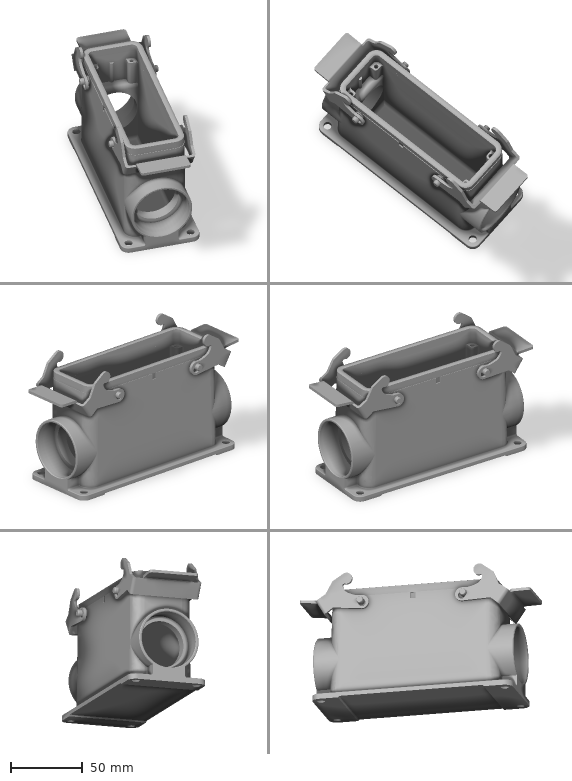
import cadquery as cq
import math

base_length = 144.0
base_width = 57.0
base_thickness = 4.0
base_corner_radius = 6.0
base_edge_radius = 0.5
mount_hole_diameter = 5.6
foot_relief_length = 103.0
foot_relief_depth = 1.0

body_length = 122.4
body_width = 44.6
body_top_length = 119.8
body_top_width = 43.5
body_corner_radius = 8.0
step_height = 75.0
rim_length = 119.2
rim_width = 42.8
rim_corner_radius = 7.6
rim_thickness = 4.0
rim_crown = 0.5
total_rim_height = 81.0
body_foot_radius = 0.6

cavity_length = rim_length - 2 * rim_thickness
cavity_width = rim_width - 2 * rim_thickness
cavity_corner_radius = rim_corner_radius - rim_thickness
floor_height = base_thickness
wall_narrowing = 0.15
lower_cavity_length = cavity_length - 2 * wall_narrowing
lower_cavity_width = cavity_width - 2 * wall_narrowing
block_height = 51.5
block_face_x = 48.2
block_edge_radius = 3.4
floor_fillet = 2.7
cavity_draft = 0.5

post_height = 69.0
post_root_height = 47.5
post_x = 52.0
post_y = 13.5
post_face_x = 49.7
post_face_y = 10.6
post_corner_radius = 2.0
post_flare_radius = 1.3
post_flare_overlap = 0.1
screw_hole_diameter = 3.0
screw_hole_depth = 12.0
screw_hole_taper = 5.0
stud_diameter = 3.0
stud_height = 68.0

notch_width = 3.6
notch_height = 4.5
notch_depth = 1.0

entry_height = 30.0
entry_outer_diameter = 44.1
entry_bore_diameter = 40.0
entry_bore_depth = 16.0
entry_through_diameter = 33.0
entry_edge = 0.5
entry_web_width = 24.0
entry_web_fillet = 1.0

peg_x = 37.0
peg_z = 70.5
peg_diameter = 4.8
peg_end_y = 28.3
peg_chamfer = 0.4
peg_chamfer_length = 0.8
peg_boss_diameter = 7.0
peg_boss_end_y = 22.9
peg_inner_diameter = 4.0
peg_inner_projection = 0.1

sheet_thickness = 2.0
bridge_thickness = 1.6
latch_outer_width = 51.0
latch_bend_radius = 2.2
latch_inner_bend_radius = 1.5
flap_bend_radius = 1.2
flap_width = 36.0
flap_corner_radius = 2.0
slot_width = 5.0
right_latch_tilt = 3.8

hook_centre = (-11.3, 16.25)
hook_radius = 4.1
hook_start_angle = 122.0
hook_middle_angle = 20.0
eye_centre = (1.1, -0.9)
eye_radius = 4.85
slot_end = (1.35, -1.75)
bridge_top = (-31.1, 0.8)
bridge_bottom = (-24.3, -9.0)
flap_tip_x = -45.98
flap_tip_bottom_z = 0.8
flap_root = (-32.3, 2.5)


def rounded_outline(length, width, radius):
    return cq.Sketch().rect(length, width).vertices().fillet(radius)


def rounded_block(length, width, radius, bottom, top):
    """Upright block with rounded vertical edges, centred on the Z axis."""
    outline = rounded_outline(length, width, radius)
    return cq.Workplane("XY", origin=(0, 0, bottom)).placeSketch(outline).extrude(top - bottom)


def drafted_block(bottom_size, top_size, radius, bottom, top):
    """Like rounded_block, but with different (length, width) at the bottom and at the top."""
    lower = rounded_outline(*bottom_size, radius)
    upper = rounded_outline(*top_size, radius).moved(cq.Location(cq.Vector(0, 0, top - bottom)))
    return cq.Workplane("XY", origin=(0, 0, bottom)).placeSketch(lower, upper).loft()


def box_between(x0, x1, y0, y1, z0, z1):
    return cq.Workplane("XY").box(x1 - x0, y1 - y0, z1 - z0, centered=False).translate((x0, y0, z0))


def x_cylinder(diameter, x0, x1):
    """Cylinder along X at the height of the cable entries."""
    return (
        cq.Workplane("YZ", origin=(x0, 0, entry_height))
        .circle(diameter / 2)
        .extrude(x1 - x0)
    )


def y_cylinder(diameter, x, y0, y1):
    """Cylinder along Y at the height of the pivot pegs."""
    return (
        cq.Workplane("XZ", origin=(x, y0, peg_z))
        .circle(diameter / 2)
        .extrude(y0 - y1)
    )


def make_base_plate():
    plate = rounded_block(base_length, base_width, base_corner_radius, 0, base_thickness)
    plate = plate.faces(">Z").edges().fillet(base_edge_radius)
    inset = base_corner_radius
    return (
        plate.faces(">Z")
        .workplane()
        .rect(base_length - 2 * inset, base_width - 2 * inset, forConstruction=True)
        .vertices()
        .hole(mount_hole_diameter)
    )


def make_foot_relief():
    """Shallow channel under the plate with 45 degree ends."""
    half = foot_relief_length / 2
    return (
        cq.Workplane("XZ", origin=(0, base_width / 2, 0))
        .moveTo(-half - foot_relief_depth, 0)
        .lineTo(half + foot_relief_depth, 0)
        .lineTo(half, foot_relief_depth)
        .lineTo(-half, foot_relief_depth)
        .close()
        .extrude(base_width)
    )


def make_rim():
    """Straight rim whose top edge is crowned by a shallow arc all the way round."""
    shoulder = total_rim_height - rim_crown
    rim = rounded_block(rim_length, rim_width, rim_corner_radius, step_height, shoulder)
    path = (
        cq.Workplane("XY", origin=(0, 0, shoulder))
        .placeSketch(rounded_outline(rim_length, rim_width, rim_corner_radius))
        .extrude(1)
        .faces("<Z")
        .wires()
    )
    crown = (
        cq.Workplane("YZ", origin=(0, 0, shoulder))
        .moveTo(rim_width / 2, 0)
        .threePointArc((rim_width / 2 - rim_thickness / 2, rim_crown), (cavity_width / 2, 0))
        .close()
        .sweep(path)
    )
    return rim.union(crown)


def make_entry(side):
    """Cable entry collar and the web that carries it, on one end (side = -1 or +1)."""
    collar = x_cylinder(entry_outer_diameter, block_face_x, base_length / 2)
    collar = collar.faces(">X").edges().chamfer(entry_edge)
    web = box_between(
        block_face_x, base_length / 2,
        -entry_web_width / 2, entry_web_width / 2,
        base_thickness / 2, entry_height,
    )
    entry = collar.union(web)
    return entry if side > 0 else entry.mirror("YZ")


def make_entry_bore(side):
    """Stepped bore with a chamfered mouth, on one end."""
    mouth = base_length / 2
    bore = x_cylinder(entry_bore_diameter, mouth - entry_bore_depth, mouth)
    lead_in = (
        cq.Workplane("YZ", origin=(mouth, 0, entry_height))
        .circle(entry_bore_diameter / 2 + entry_edge)
        .extrude(-2 * entry_edge, taper=45)
    )
    through = x_cylinder(entry_through_diameter, 0, mouth)
    cut = bore.union(lead_in).union(through)
    return cut if side > 0 else cut.mirror("YZ")


def make_cavity():
    """Cavity that narrows below the rim and again between the end blocks."""
    mouth_size = (cavity_length, cavity_width)
    lower_size = (lower_cavity_length, lower_cavity_width)
    radius = cavity_corner_radius
    mouth = rounded_block(*mouth_size, radius, step_height, total_rim_height)
    middle = drafted_block(lower_size, mouth_size, radius, post_height, step_height)
    upper = rounded_block(*lower_size, radius, block_height, post_height)
    draft_start = block_height - block_edge_radius
    ledge_x = block_face_x + block_edge_radius
    between_blocks = (
        cq.Workplane("XZ", origin=(0, lower_cavity_width / 2, 0))
        .moveTo(-block_face_x, draft_start)
        .lineTo(block_face_x, draft_start)
        .radiusArc((ledge_x, block_height), block_edge_radius)
        .lineTo(-ledge_x, block_height)
        .radiusArc((-block_face_x, draft_start), block_edge_radius)
        .close()
        .extrude(lower_cavity_width)
    )
    lower = (
        cq.Workplane("XY", origin=(0, 0, draft_start))
        .rect(2 * block_face_x, lower_cavity_width)
        .extrude(floor_height - draft_start, taper=cavity_draft)
        .faces("<Z")
        .edges()
        .fillet(floor_fillet)
    )
    return mouth.union(middle).union(upper).union(between_blocks).union(lower)


def make_post(side_x, side_y):
    """Screw post in one corner of the cavity, flared where it meets the two walls."""
    wall_x = lower_cavity_length / 2 + post_flare_overlap
    wall_y = lower_cavity_width / 2 + post_flare_overlap
    back_x = wall_x + rim_thickness / 4
    back_y = wall_y + rim_thickness / 4
    flare = post_flare_radius
    post = (
        cq.Workplane("XY", origin=(0, 0, post_root_height))
        .moveTo(post_face_x - flare, back_y)
        .lineTo(post_face_x - flare, wall_y)
        .radiusArc((post_face_x, wall_y - flare), flare)
        .lineTo(post_face_x, post_face_y)
        .lineTo(wall_x - flare, post_face_y)
        .radiusArc((wall_x, post_face_y - flare), flare)
        .lineTo(back_x, post_face_y - flare)
        .lineTo(back_x, back_y)
        .close()
        .extrude(post_height - post_root_height)
        .edges("|Z")
        .edges(cq.selectors.NearestToPointSelector((post_face_x, post_face_y, block_height)))
        .fillet(post_corner_radius)
    )
    hole = (
        cq.Workplane("XY", origin=(post_x, post_y, post_height))
        .circle(screw_hole_diameter / 2)
        .extrude(-screw_hole_depth, taper=screw_hole_taper)
    )
    post = post.cut(hole)
    if side_x < 0:
        post = post.mirror("YZ")
    if side_y < 0:
        post = post.mirror("XZ")
    return post


def make_peg(x, side_y):
    """Pivot peg with the round boss at its foot and its end inside the cavity."""
    wall_middle = cavity_width / 2 + rim_thickness / 2
    peg = y_cylinder(peg_diameter, x, wall_middle, peg_end_y)
    peg = peg.faces(">Y").chamfer(peg_chamfer_length, peg_chamfer)
    boss = y_cylinder(peg_boss_diameter, x, wall_middle, peg_boss_end_y)
    inner = y_cylinder(peg_inner_diameter, x, cavity_width / 2 - peg_inner_projection, wall_middle)
    peg = peg.union(boss).union(inner)
    return peg if side_y > 0 else peg.mirror("XZ")


def fillet_web_corners(housing):
    """Round the upright inner corners between the entry webs and the end walls."""
    half_length = body_length / 2
    for side_x in (-1, 1):
        for side_y in (-1, 1):
            x = side_x * half_length
            y = side_y * entry_web_width / 2
            corner = cq.selectors.BoxSelector(
                (x - 1, y - 0.1, base_thickness + 2), (x + 1, y + 0.1, entry_height - 10)
            )
            housing = housing.edges(corner).fillet(entry_web_fillet)
    return housing


def make_housing():
    sides = (-1, 1)
    body = drafted_block(
        (body_length, body_width), (body_top_length, body_top_width),
        body_corner_radius, base_thickness, step_height,
    )
    housing = make_base_plate().union(body)
    foot_edges = cq.selectors.BoxSelector(
        (-body_length / 2 - 1, -body_width / 2 - 1, base_thickness - 0.1),
        (body_length / 2 + 1, body_width / 2 + 1, base_thickness + 0.1),
    )
    housing = housing.edges(foot_edges).fillet(body_foot_radius)
    for side in sides:
        housing = housing.union(make_entry(side))
    housing = fillet_web_corners(housing)
    housing = housing.union(make_rim()).cut(make_foot_relief()).cut(make_cavity())
    for side in sides:
        housing = housing.cut(make_entry_bore(side))
        notch_inner = side * (body_top_width / 2 - notch_depth)
        notch_outer = side * body_width / 2
        housing = housing.cut(
            box_between(
                -notch_width / 2, notch_width / 2,
                min(notch_inner, notch_outer), max(notch_inner, notch_outer),
                step_height - notch_height, step_height,
            )
        )
    for side_x in sides:
        stud = (
            cq.Workplane("XY", origin=(side_x * lower_cavity_length / 2, 0, block_height - 1))
            .circle(stud_diameter / 2)
            .extrude(stud_height - block_height + 1)
        )
        housing = housing.union(stud)
        for side_y in sides:
            housing = housing.union(make_post(side_x, side_y))
            housing = housing.union(make_peg(side_x * peg_x, side_y))
    return housing


def hook_point(angle):
    return (
        hook_centre[0] + hook_radius * math.cos(math.radians(angle)),
        hook_centre[1] + hook_radius * math.sin(math.radians(angle)),
    )


def outside_bridge(point):
    """Shift a bridge point by the bridge thickness to the outer face of the bridge."""
    run = bridge_bottom[0] - bridge_top[0]
    fall = bridge_top[1] - bridge_bottom[1]
    length = math.hypot(run, fall)
    return (
        point[0] - bridge_thickness * fall / length,
        point[1] - bridge_thickness * run / length,
    )


def extrude_across(profile, width):
    """Extrude a profile symmetrically about the XZ plane."""
    return profile.extrude(width / 2, both=True)


def make_latch():
    """Sheet latch: two hooked side plates, a bridge and a thumb flap; peg axis on Y."""
    outer_top = outside_bridge(bridge_top)
    outer_bottom = outside_bridge(bridge_bottom)
    side_outline = (
        cq.Workplane("XZ")
        .moveTo(*outer_top)
        .lineTo(*bridge_top)
        .lineTo(-25.5, 4.7)
        .lineTo(-21.1, 14.1)
        .lineTo(*hook_point(hook_start_angle))
        .threePointArc(hook_point(hook_middle_angle), hook_point(270))
        .threePointArc((-13.2, 11.9), (-13.6, 10.9))
        .threePointArc((-11.8, 7.5), (-9.0, 5.5))
        .lineTo(-5.9, 4.5)
        .lineTo(-3.0, 3.8)
        .lineTo(eye_centre[0], eye_centre[1] + eye_radius)
        .threePointArc(
            (eye_centre[0] + eye_radius, eye_centre[1]),
            (eye_centre[0], eye_centre[1] - eye_radius),
        )
        .lineTo(-19.5, -5.0)
        .lineTo(*bridge_bottom)
        .lineTo(*outer_bottom)
        .close()
    )
    latch = extrude_across(side_outline, latch_outer_width)
    bends = cq.selectors.BoxSelector(
        (outer_top[0] - 0.1, -latch_outer_width, outer_bottom[1] - 0.1),
        (outer_bottom[0] + 0.1, latch_outer_width, outer_top[1] + 0.1),
    )
    latch = latch.edges(bends).edges("not |Y").edges(cq.selectors.LengthNthSelector(-1)).fillet(latch_bend_radius)
    reach = 60.0
    run = bridge_bottom[0] - bridge_top[0]
    fall = bridge_top[1] - bridge_bottom[1]
    inner_space = (
        cq.Workplane("XZ")
        .moveTo(bridge_top[0] - reach * run / 10, bridge_top[1] + reach * fall / 10)
        .lineTo(bridge_top[0] + reach * run / 10, bridge_top[1] - reach * fall / 10)
        .lineTo(reach, -reach)
        .lineTo(reach, reach)
        .close()
    )
    inner_space = (
        extrude_across(inner_space, latch_outer_width - 2 * sheet_thickness)
        .edges(cq.selectors.BoxSelector(
            (bridge_top[0] - 20, -reach, bridge_bottom[1] - 20),
            (bridge_bottom[0] + 20, reach, bridge_top[1] + 20),
        ))
        .edges("not |Y")
        .fillet(latch_inner_bend_radius)
    )
    latch = latch.cut(inner_space)
    flap_outline = (
        cq.Workplane("XZ")
        .moveTo(*bridge_top)
        .lineTo(*flap_root)
        .lineTo(flap_tip_x, flap_tip_bottom_z + sheet_thickness)
        .lineTo(flap_tip_x, flap_tip_bottom_z)
        .lineTo(flap_root[0] - 0.9, flap_root[1] - sheet_thickness)
        .lineTo(*outer_top)
        .close()
    )
    flap = extrude_across(flap_outline, flap_width).edges("|Z").fillet(flap_corner_radius)
    bend = cq.selectors.NearestToPointSelector((flap_root[0], 0, flap_root[1]))
    flap = flap.edges("|Y").edges(bend).fillet(flap_bend_radius)
    slot_angle = math.degrees(math.atan2(slot_end[1], slot_end[0]))
    slot_travel = math.hypot(*slot_end)
    slot = (
        cq.Workplane("XZ")
        .center(slot_end[0] / 2, slot_end[1] / 2)
        .slot2D(slot_travel + slot_width, slot_width, slot_angle)
    )
    return latch.union(flap).cut(extrude_across(slot, 2 * latch_outer_width))


housing = make_housing()
left_latch = make_latch().translate((-peg_x, 0, peg_z))
right_latch = (
    make_latch()
    .mirror("YZ")
    .rotate((0, 0, 0), (0, 1, 0), -right_latch_tilt)
    .translate((peg_x, 0, peg_z))
)

result = cq.Compound.makeCompound([housing.val(), left_latch.val(), right_latch.val()])